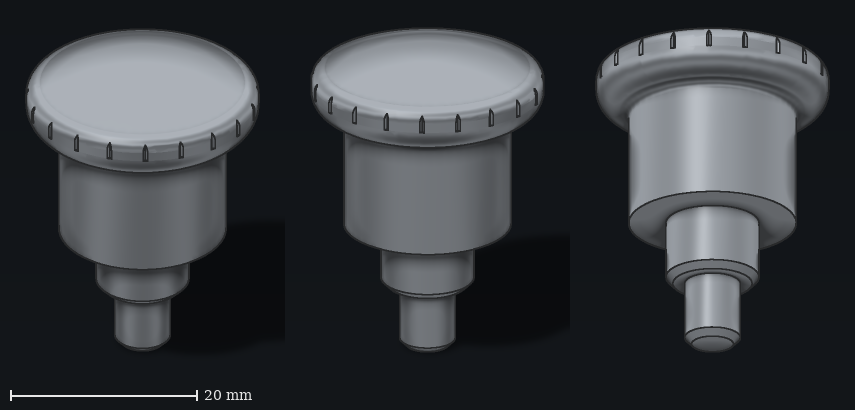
import cadquery as cq
import math

total_height = 34.0
knob_diameter = 25.0

dome_rise = 2.0
rim_upper_round = 1.5
band_height = 1.0
rim_lower_round = 2.5
skirt_fillet = 1.0
skirt_diameter = 18.0

notch_count = 20
notch_depth = 0.25

stem_diameter = 10.0
tip_diameter = 6.0
tip_length = 7.0
stem_length = 7.0
chamfer = 0.75

knob_radius = knob_diameter / 2
skirt_radius = skirt_diameter / 2
stem_radius = stem_diameter / 2
tip_radius = tip_diameter / 2
crown_radius = knob_radius - rim_upper_round
rim_underside_radius = knob_radius - rim_lower_round

skirt_bottom = tip_length + stem_length
crown_edge = total_height - dome_rise
band_top = crown_edge - rim_upper_round
band_bottom = band_top - band_height
rim_underside = band_bottom - rim_lower_round
skirt_top = rim_underside - skirt_fillet

ARC_MID = math.cos(math.radians(45))


def dome_height(radius):
    """Height of the spherical crown at a given distance from the axis."""
    sphere_radius = (crown_radius**2 + dome_rise**2) / (2 * dome_rise)
    return total_height - sphere_radius + math.sqrt(sphere_radius**2 - radius**2)


def make_knob_blank():
    """Revolved knob without its grip notches."""
    fillet_centre_radius = skirt_radius + skirt_fillet
    fillet_mid = (
        fillet_centre_radius - skirt_fillet * ARC_MID,
        skirt_top + skirt_fillet * ARC_MID,
    )
    lower_mid = (
        rim_underside_radius + rim_lower_round * ARC_MID,
        band_bottom - rim_lower_round * ARC_MID,
    )
    upper_mid = (
        crown_radius + rim_upper_round * ARC_MID,
        band_top + rim_upper_round * ARC_MID,
    )
    dome_mid = (crown_radius / 2, dome_height(crown_radius / 2))
    return (
        cq.Workplane("XZ")
        .moveTo(0, skirt_bottom)
        .lineTo(skirt_radius, skirt_bottom)
        .lineTo(skirt_radius, skirt_top)
        .threePointArc(fillet_mid, (rim_underside_radius, rim_underside))
        .threePointArc(lower_mid, (knob_radius, band_bottom))
        .lineTo(knob_radius, band_top)
        .threePointArc(upper_mid, (crown_radius, crown_edge))
        .threePointArc(dome_mid, (0, total_height))
        .close()
        .revolve(360, (0, 0), (0, 1))
    )


def make_notch_cutter(angle):
    """Triangular prism whose edge forms the root of one notch, closed at the band bottom."""
    cutter_reach = 2 * notch_depth
    outer_radius = knob_radius - notch_depth + cutter_reach
    return (
        cq.Workplane("XY")
        .workplane(offset=band_bottom)
        .moveTo(knob_radius - notch_depth, 0)
        .lineTo(outer_radius, -cutter_reach)
        .lineTo(outer_radius, cutter_reach)
        .close()
        .extrude(crown_edge - band_bottom)
        .rotate((0, 0, 0), (0, 0, 1), angle)
    )


def make_knob():
    """Knob with evenly spaced grip notches around its rim."""
    body = make_knob_blank()
    for index in range(notch_count):
        body = body.cut(make_notch_cutter(index * 360 / notch_count))
    return body


def make_plunger():
    """Stem and tip in one piece, seated against the bottom of the skirt."""
    tip = cq.Workplane("XY").circle(tip_radius).extrude(tip_length).faces("<Z").chamfer(chamfer)
    stem = (
        cq.Workplane("XY")
        .workplane(offset=tip_length)
        .circle(stem_radius)
        .extrude(stem_length)
        .faces("<Z")
        .chamfer(chamfer)
    )
    return tip.union(stem)


knob = make_knob()
plunger = make_plunger()

result = cq.Compound.makeCompound([knob.solids().val(), plunger.solids().val()])